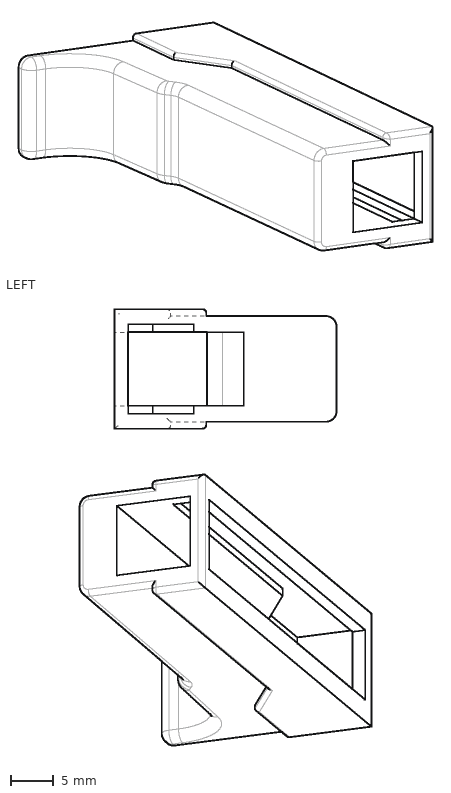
import cadquery as cq

LENGTH = 53.8
DEPTH = 26.0
HEIGHT = 14.0

STEP_HEIGHT = 0.8
STEP_ROUND = 0.5
STEP_DEPTH_NEAR = 10.75
STEP_DEPTH_FAR = 6.55
STEP_BEND_START = 9.9
STEP_BEND_END = 16.4
LIP_THICKNESS = 2.0
LIP_BLEND_RADIUS = 5.9
GRIP_DEPTH_AT_LIP = 17.75
GRIP_DEPTH_AT_BEND = 17.2
GRIP_BEND_START = 18.3
GRIP_BEND_END = 19.95
FRONT_DEPTH_NEAR = 16.0
FRONT_DEPTH_FAR = 15.7
BEND_RADIUS = 1.95
EDGE_ROUND = 1.3
END_ROUND = 0.65

BACK_WALL = 1.6
CHANNEL_HEIGHT = 8.6
CHANNEL_DEPTH_NEAR = 15.1
CHANNEL_DEPTH_MIDDLE = 12.6
CHANNEL_DEPTH_FAR = 10.8
TAPER_MIDDLE = 24.9
TAPER_END = 26.75
POCKET_HEIGHT = 10.45
POCKET_DEPTH_NEAR = 9.3
POCKET_DEPTH_FAR = 4.5
POCKET_BEND_START = 9.4
POCKET_BEND_END = 16.9
END_WALL = 2.0

SELECT_MARGIN = 0.55


def prism(points, height):
    """Extrude an XY outline, centred on the middle plane Z = 0."""
    return cq.Workplane("XY").polyline(points).close().extrude(height / 2, both=True)


def edge_near(x, depth):
    """Select the upright edge closest to a point on the outline."""
    return cq.selectors.NearestToPointSelector((x, -depth, 0))


def make_grip_body():
    body = prism(
        [
            (0, 0),
            (LENGTH, 0),
            (LENGTH, -FRONT_DEPTH_FAR),
            (GRIP_BEND_END, -FRONT_DEPTH_NEAR),
            (GRIP_BEND_START, -GRIP_DEPTH_AT_BEND),
            (LIP_THICKNESS, -GRIP_DEPTH_AT_LIP),
            (LIP_THICKNESS, -DEPTH),
            (0, -DEPTH),
        ],
        HEIGHT - 2 * STEP_HEIGHT,
    )
    rounded_corners = [
        (LIP_THICKNESS, GRIP_DEPTH_AT_LIP, LIP_BLEND_RADIUS),
        (GRIP_BEND_START, GRIP_DEPTH_AT_BEND, BEND_RADIUS),
        (GRIP_BEND_END, FRONT_DEPTH_NEAR, BEND_RADIUS),
        (LIP_THICKNESS, DEPTH, EDGE_ROUND),
    ]
    for x, depth, radius in rounded_corners:
        body = body.edges("|Z").edges(edge_near(x, depth)).fillet(radius)

    for side in (1, -1):
        rim_point = (LENGTH / 2, -FRONT_DEPTH_NEAR, side * (HEIGHT / 2 - STEP_HEIGHT))
        rim = cq.selectors.NearestToPointSelector(rim_point)
        body = body.faces(">Z" if side > 0 else "<Z").edges(rim).fillet(EDGE_ROUND)

    far_edges = body.faces(">X").edges("not <Y")
    return far_edges.fillet(END_ROUND)


def make_raised_back():
    raised = prism(
        [
            (0, 0),
            (LENGTH, 0),
            (LENGTH, -STEP_DEPTH_FAR),
            (STEP_BEND_END, -STEP_DEPTH_FAR),
            (STEP_BEND_START, -STEP_DEPTH_NEAR),
            (0, -STEP_DEPTH_NEAR),
        ],
        HEIGHT,
    )
    step_area = cq.selectors.BoxSelector(
        (-SELECT_MARGIN, -DEPTH, -HEIGHT),
        (LENGTH - SELECT_MARGIN, -STEP_DEPTH_FAR / 2, HEIGHT),
    )
    rims = raised.faces("<Z or >Z").edges("not(<X or >X)").edges(step_area)
    raised = rims.fillet(STEP_ROUND)
    end_edges = raised.faces(">X").edges(">Y or >Z or <Z")
    return end_edges.fillet(END_ROUND)


def make_channel():
    """Through channel, its front wall tapering inwards past the grip bend."""
    return prism(
        [
            (0, -BACK_WALL),
            (LENGTH, -BACK_WALL),
            (LENGTH, -CHANNEL_DEPTH_FAR),
            (TAPER_END, -CHANNEL_DEPTH_FAR),
            (TAPER_MIDDLE, -CHANNEL_DEPTH_MIDDLE),
            (GRIP_BEND_END, -CHANNEL_DEPTH_NEAR),
            (0, -CHANNEL_DEPTH_NEAR),
        ],
        CHANNEL_HEIGHT,
    )


def make_pocket():
    """Taller blind pocket with a bend beneath that of the outer step."""
    pocket_end = LENGTH - END_WALL
    return prism(
        [
            (0, -BACK_WALL),
            (pocket_end, -BACK_WALL),
            (pocket_end, -POCKET_DEPTH_FAR),
            (POCKET_BEND_END, -POCKET_DEPTH_FAR),
            (POCKET_BEND_START, -POCKET_DEPTH_NEAR),
            (0, -POCKET_DEPTH_NEAR),
        ],
        POCKET_HEIGHT,
    )


def make_back_window():
    """Opening through the back wall, framed equally at both ends."""
    return prism(
        [
            (END_WALL, 0),
            (LENGTH - END_WALL, 0),
            (LENGTH - END_WALL, -BACK_WALL),
            (END_WALL, -BACK_WALL),
        ],
        CHANNEL_HEIGHT,
    )


result = make_grip_body().union(make_raised_back())
for cavity in (make_channel(), make_pocket(), make_back_window()):
    result = result.cut(cavity)